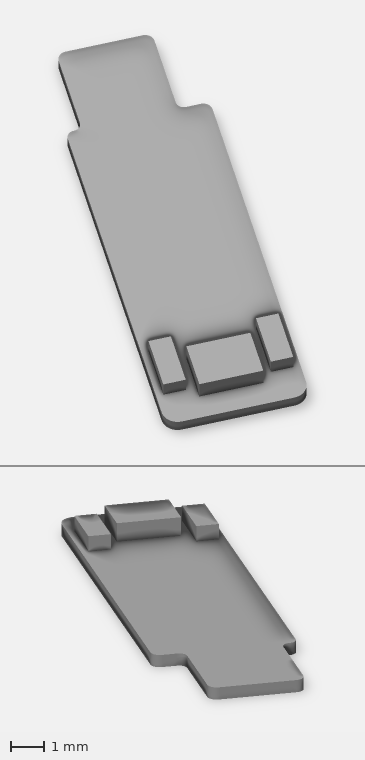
import cadquery as cq

board_length = 14.62
board_width = 4.52
board_thickness = 0.4
tongue_length = 3.0
tongue_width = 3.0
tongue_offset_y = -0.25
far_corner_radius = 0.5
tongue_corner_radius = 0.29
upper_shoulder_radius = 0.29
lower_shoulder_radius = 0.25
root_radius = 0.25

block_start_x = 12.32
block_length = 1.5
block_width = 2.0
block_height = 0.6

side_start_x = 11.75
side_length = 1.73
side_width = 0.7
side_height = 0.5
side_centre_y = 1.68

half_width = board_width / 2
tongue_top = tongue_offset_y + tongue_width / 2
tongue_bottom = tongue_offset_y - tongue_width / 2


def corner_edge(x, y):
    """Select the vertical board edge nearest to the corner (x, y)."""
    return cq.selectors.NearestToPointSelector((x, y, board_thickness / 2))


def make_board():
    """Stepped flat plate with every outline corner rounded."""
    plate = (
        cq.Workplane("XY")
        .moveTo(0, tongue_bottom)
        .lineTo(tongue_length, tongue_bottom)
        .lineTo(tongue_length, -half_width)
        .lineTo(board_length, -half_width)
        .lineTo(board_length, half_width)
        .lineTo(tongue_length, half_width)
        .lineTo(tongue_length, tongue_top)
        .lineTo(0, tongue_top)
        .close()
        .extrude(board_thickness)
    )
    rounded_corners = [
        (0, tongue_bottom, tongue_corner_radius),
        (0, tongue_top, tongue_corner_radius),
        (tongue_length, tongue_bottom, root_radius),
        (tongue_length, tongue_top, root_radius),
        (tongue_length, -half_width, lower_shoulder_radius),
        (tongue_length, half_width, upper_shoulder_radius),
        (board_length, -half_width, far_corner_radius),
        (board_length, half_width, far_corner_radius),
    ]
    for x, y, radius in rounded_corners:
        plate = plate.edges("|Z").edges(corner_edge(x, y)).fillet(radius)
    return plate


def make_component(start_x, centre_y, length, width, height):
    """Rectangular component standing on the top face of the board."""
    return (
        cq.Workplane("XY")
        .box(length, width, height, centered=(False, True, False))
        .translate((start_x, centre_y, board_thickness))
    )


board = make_board()
central_block = make_component(block_start_x, 0, block_length, block_width, block_height)

side_components = []
for side in (-1, 1):
    component = make_component(side_start_x, side * side_centre_y, side_length, side_width, side_height)
    side_components.append(component.val())

result = cq.Compound.makeCompound([board.val(), central_block.val(), *side_components])